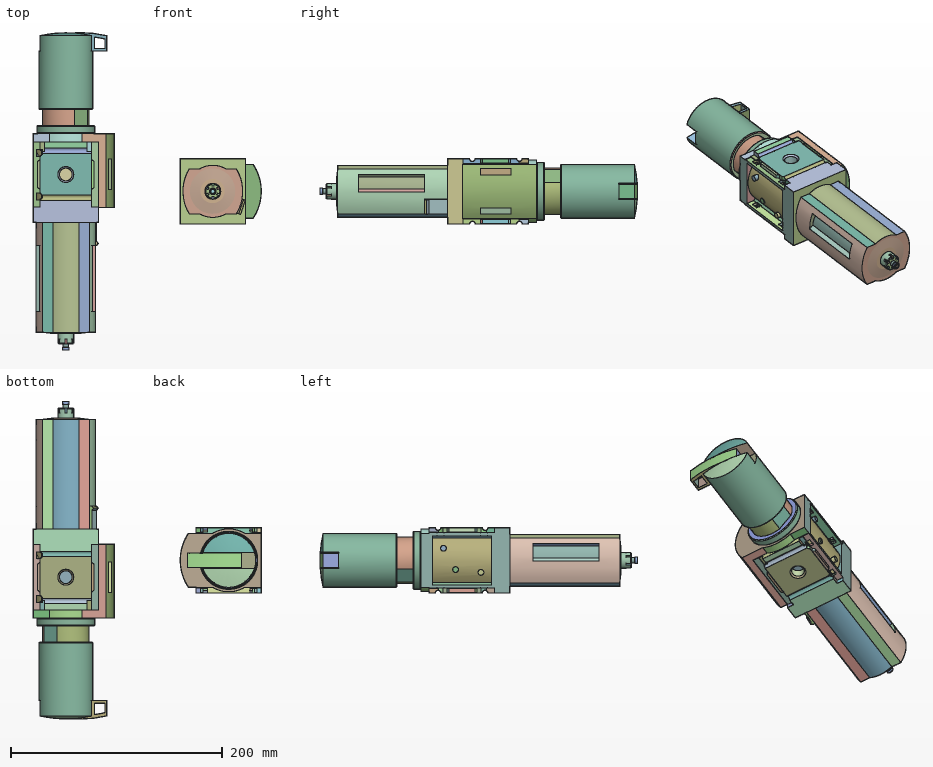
import cadquery as cq
import math


drain_tip_y = -120.7
stem_lip_y = -118.0
drain_body_y = -114.7
drain_slot_y = -110.0
bowl_tip_y = -105.0
bowl_end_y = -104.0
ledge_front_y = 14.5
block_back_y = 76.3
back_plate_y = 84.0
collar_back_y = 91.5
knob_front_y = 106.5
knob_slot_y = 162.0
knob_edge_y = 176.5
knob_top_y = 179.5
edge_chamfer = 1.0

block_half = 31.0
core_half_width = 24.3
plate_half_height = 25.5
ledge_half_height = 26.0
barrel_radius = 29.7
port_y = 45.3
port_mouth_diameter = 15.0
port_diameter = 12.0
port_chamfer = (port_mouth_diameter - port_diameter) / 2
port_depth = 10.0
groove_diameter = 5.0
rear_groove_y = 68.0
front_groove_y = 23.5
rib_half_width = 20.0
rib_pocket_front_y = 67.3
rib_pocket_floor = 26.7
lug_base_length = 28.2
lug_tip_length = 24.5
lug_width = 2.5
lug_height = 3.5
lug_top = 30.3
opening_x = -25.0
opening_ys = (24.5, 65.8)
opening_width = 5.5
opening_length = 6.5
relief_diameter = 5.5

recess_front_y = 17.5
recess_back_y = 73.3
recess_half_height = 23.0
recess_inner_x = -19.2
recess_chamfer = 4.0
pin_diameter = 5.5
long_pin_end_x = -block_half
short_pin_end_x = -29.5
pins = (
    (62.8, 11.5, long_pin_end_x),
    (51.5, -8.7, short_pin_end_x),
    (27.3, -11.5, long_pin_end_x),
)

cover_shoulder_x = 38.0
cover_crown_x = 46.0
cover_front_y = 14.0
notch_x = 40.5
notch_floor = 15.5
notch_length = 28.8

collar_diameter = 55.0
neck_diameter = 44.0
neck_across_flats = 40.5

bowl_core_radius = 24.5
guard_half_height = 21.3
guard_corner_x = 22.2
guard_crown_x = 28.2
window_section = (
    (-28.5, -1.0),
    (-24.0, 2.7),
    (-19.8, 13.5),
    (-26.7, 16.5),
    (-28.5, 16.5),
)
window_front_y = -84.0
window_back_y = -21.5
end_cone_diameter = 43.0
end_flat_diameter = 22.8
latch_top = (27.3, -7.2)
latch_bottom = (22.8, -20.7)
latch_end_y = -22.0
latch_ridge_y = -19.8
latch_ridge_start_y = -17.7
latch_thickness = 1.8
latch_ridge_height = 3.5
latch_root = 2.5

drain_diameter = 15.0
drain_slot_count = 6
drain_slot_width = 1.8
drain_slot_depth = 2.7
stem_diameter = 5.5
stem_lip_diameter = 6.3
stem_bore_diameter = 4.0
stem_bore_depth = 3.0

knob_diameter = 51.0
knob_slot_half = 7.5
slide_half = 7.0
slide_travel = 13.2
eye_inner_x = 27.3
eye_outer_x = 37.0
eye_floor_y = 164.5
eye_roof = 3.5

dome_rise = knob_top_y - knob_edge_y
dome_radius = ((knob_diameter / 2) ** 2 + dome_rise**2) / (2 * dome_rise)


def span_box(x0, x1, y0, y1, z0, z1):
    """Box given by its limits on each axis."""
    return cq.Workplane("XY").box(x1 - x0, y1 - y0, z1 - z0, centered=False).translate((x0, y0, z0))


def section_at(y):
    """Sketching plane across the main axis, with local X and Y along X and Z."""
    return cq.Workplane("XZ", origin=(0, y, 0))


def rod(diameter, y0, y1):
    """Cylinder on the main axis from y0 to y1."""
    return section_at(y1).circle(diameter / 2).extrude(y1 - y0)


def both_sides(shape):
    """The shape together with its mirror image below Z = 0."""
    return shape.union(shape.mirror("XY"))




def make_block():
    flange = span_box(-block_half, block_half, 0, ledge_front_y, -block_half, block_half)
    core = span_box(
        -core_half_width, core_half_width, ledge_front_y, block_back_y, -block_half, block_half
    )
    ledges = span_box(
        -block_half, block_half, ledge_front_y, block_back_y, -ledge_half_height, ledge_half_height
    )
    back_plate = span_box(
        -block_half, block_half, block_back_y, back_plate_y, -plate_half_height, plate_half_height
    )
    barrel = rod(2 * barrel_radius, block_back_y, back_plate_y)
    return flange.union(core).union(ledges).union(back_plate).union(barrel)


def make_grooves():
    """Round grooves across the top and bottom, with pockets at the ends of the rear rib."""
    cutters = cq.Workplane("XY")
    for y in (rear_groove_y, front_groove_y):
        groove = (
            cq.Workplane("YZ", origin=(-core_half_width, y, block_half))
            .circle(groove_diameter / 2)
            .extrude(2 * core_half_width)
        )
        cutters = cutters.union(groove)
    for x0, x1 in ((-core_half_width, -rib_half_width), (rib_half_width, core_half_width)):
        pocket = span_box(x0, x1, rib_pocket_front_y, block_back_y, rib_pocket_floor, block_half)
        cutters = cutters.union(pocket)
    return both_sides(cutters)


def make_port():
    """Blind port with a chamfered mouth, in the top and the bottom."""
    mouth = cq.Workplane("XY", origin=(0, port_y, block_half))
    bore = mouth.circle(port_diameter / 2).extrude(-port_depth)
    chamfer = (
        mouth.circle(port_mouth_diameter / 2)
        .workplane(offset=-port_chamfer)
        .circle(port_diameter / 2)
        .loft()
    )
    return both_sides(bore.union(chamfer))


def make_lugs():
    """Tapered lugs along the sides of the raised core."""
    lug = (
        cq.Workplane("XY", origin=(core_half_width, port_y, lug_top))
        .moveTo(0, -lug_base_length / 2)
        .lineTo(lug_width, -lug_tip_length / 2)
        .lineTo(lug_width, lug_tip_length / 2)
        .lineTo(0, lug_base_length / 2)
        .close()
        .extrude(-lug_height)
    )
    return both_sides(lug.union(lug.mirror("YZ")))


def make_frame_openings():
    """Openings through the -X ledges into the side recess, rounded where they cut into the core."""
    height = block_half - recess_half_height
    openings = cq.Workplane("XY")
    for y in opening_ys:
        base = cq.Workplane("XY", origin=(opening_x, y, recess_half_height))
        slot = base.rect(opening_width, opening_length).extrude(ledge_half_height - recess_half_height)
        relief = base.circle(relief_diameter / 2).extrude(height)
        openings = openings.union(slot).union(relief)
    return both_sides(openings.cut(rod(2 * barrel_radius, recess_front_y, recess_back_y)))


def make_side_recess():
    """Recess in the -X side that leaves the round barrel standing inside it."""
    recess = span_box(
        -block_half, recess_inner_x, recess_front_y, recess_back_y, -recess_half_height, recess_half_height
    )
    recess = recess.edges("|Y and >X").chamfer(recess_chamfer)
    return recess.cut(rod(2 * barrel_radius, recess_front_y, recess_back_y))


def make_recess_pins():
    """Short pins standing on the barrel inside the side recess."""
    stubs = cq.Workplane("XY")
    for y, z, end_x in pins:
        stub = (
            cq.Workplane("YZ", origin=(end_x, y, z))
            .circle(pin_diameter / 2)
            .extrude(recess_inner_x - end_x)
        )
        stubs = stubs.union(stub)
    return stubs


def make_cover():
    """Crowned side cover with a step notch near its crown, above and below."""
    cover = (
        section_at(back_plate_y)
        .moveTo(core_half_width, -plate_half_height)
        .lineTo(cover_shoulder_x, -plate_half_height)
        .threePointArc((cover_crown_x, 0), (cover_shoulder_x, plate_half_height))
        .lineTo(core_half_width, plate_half_height)
        .close()
        .extrude(back_plate_y - cover_front_y)
    )
    notch = span_box(
        notch_x,
        cover_crown_x,
        port_y - notch_length / 2,
        port_y + notch_length / 2,
        notch_floor,
        plate_half_height,
    )
    return cover.cut(both_sides(notch))


def make_collar_and_neck():
    collar = rod(collar_diameter, back_plate_y, collar_back_y).faces("<Y or >Y").chamfer(edge_chamfer)
    neck = rod(neck_diameter, collar_back_y, knob_front_y)
    flats = (
        section_at(knob_front_y)
        .transformed(rotate=(0, 0, 45))
        .rect(neck_across_flats, neck_diameter)
        .extrude(knob_front_y - collar_back_y)
    )
    return collar.union(neck.intersect(flats))


def make_bowl():
    """Round bowl inside a flat-sided guard, with a shallow cone on its end."""
    guard = (
        section_at(0)
        .moveTo(guard_corner_x, -guard_half_height)
        .threePointArc((guard_crown_x, 0), (guard_corner_x, guard_half_height))
        .lineTo(-guard_corner_x, guard_half_height)
        .threePointArc((-guard_crown_x, 0), (-guard_corner_x, -guard_half_height))
        .close()
        .extrude(-bowl_end_y)
    )
    core = rod(2 * bowl_core_radius, bowl_end_y, 0)
    end_cone = (
        section_at(bowl_end_y)
        .circle(end_cone_diameter / 2)
        .workplane(offset=bowl_end_y - bowl_tip_y)
        .circle(end_flat_diameter / 2)
        .loft()
    )
    return guard.cut(make_bowl_windows()).union(core).union(end_cone)


def make_bowl_windows():
    """Sight windows through the guard on both sides, with flared long edges."""
    window = (
        section_at(window_back_y)
        .polyline(window_section)
        .close()
        .extrude(window_back_y - window_front_y)
    )
    return window.union(window.mirror("YZ"))


def make_latch():
    """Bowl latch: a plate on the lower +X side of the guard, ending in a ridge."""
    along = cq.Vector(latch_bottom[0] - latch_top[0], 0, latch_bottom[1] - latch_top[1])
    outward = cq.Vector(-along.z, 0, along.x)
    plane = cq.Plane(origin=(latch_top[0], 0, latch_top[1]), xDir=outward, normal=along)
    y_sign = plane.yDir.y
    profile = [
        (-latch_root, 0),
        (latch_thickness, 0),
        (latch_thickness, latch_ridge_start_y),
        (latch_ridge_height, latch_ridge_y),
        (latch_thickness, latch_end_y),
        (-latch_root, latch_end_y),
    ]
    points = [(out, y_sign * y) for out, y in profile]
    return cq.Workplane(plane).polyline(points).close().extrude(along.Length)


def make_drain():
    """Castellated drain nut with a lipped, bored stem."""
    nut = rod(drain_diameter, drain_body_y, bowl_end_y).faces("<Y").chamfer(edge_chamfer)
    slot = span_box(
        -drain_slot_width / 2,
        drain_slot_width / 2,
        drain_body_y,
        drain_slot_y,
        drain_diameter / 2 - drain_slot_depth,
        drain_diameter / 2,
    )
    for i in range(drain_slot_count):
        nut = nut.cut(slot.rotate((0, 0, 0), (0, 1, 0), i * 360 / drain_slot_count))
    stem = rod(stem_diameter, drain_tip_y, drain_body_y)
    lip = rod(stem_lip_diameter, drain_tip_y, stem_lip_y)
    bore = rod(stem_bore_diameter, drain_tip_y, drain_tip_y + stem_bore_depth)
    return nut.union(stem).union(lip).cut(bore)


def make_housing():
    block = make_block().cut(make_grooves()).cut(make_port()).union(make_lugs())
    block = block.cut(make_frame_openings()).cut(make_side_recess()).union(make_recess_pins())
    housing = block.union(make_cover()).union(make_collar_and_neck())
    return housing.union(make_bowl()).union(make_latch()).union(make_drain())




def make_knob():
    """Knob with a domed end and a slot across it for the locking slide."""
    radius = knob_diameter / 2
    mid_radius = radius / 2
    mid_dome_y = knob_top_y - dome_radius + math.sqrt(dome_radius**2 - mid_radius**2)
    knob = (
        cq.Workplane("XY")
        .moveTo(0, knob_front_y)
        .lineTo(radius - edge_chamfer, knob_front_y)
        .lineTo(radius, knob_front_y + edge_chamfer)
        .lineTo(radius, knob_edge_y)
        .threePointArc((mid_radius, mid_dome_y), (0, knob_top_y))
        .close()
        .revolve(360, (0, 0, 0), (0, 1, 0))
    )
    slot = span_box(-radius, radius, knob_slot_y, knob_top_y, -knob_slot_half, knob_slot_half)
    return knob.cut(slot)




def make_slide():
    """Locking slide, pulled out to +X, with an eye for a padlock in its outer end."""
    half_length = knob_diameter / 2
    bar = (
        cq.Workplane("XY", origin=(slide_travel, 0, -slide_half))
        .moveTo(-half_length, knob_slot_y)
        .lineTo(half_length, knob_slot_y)
        .lineTo(half_length, knob_edge_y)
        .threePointArc((0, knob_top_y), (-half_length, knob_edge_y))
        .close()
        .extrude(2 * slide_half)
    )
    eye = span_box(eye_inner_x, eye_outer_x, eye_floor_y, knob_top_y, -slide_half, slide_half)
    roof_limit = (
        cq.Workplane("XY", origin=(slide_travel, knob_top_y - dome_radius, -slide_half))
        .circle(dome_radius - eye_roof)
        .extrude(2 * slide_half)
    )
    return bar.cut(eye.intersect(roof_limit))


housing = make_housing()
knob = make_knob()
slide = make_slide()
result = cq.Compound.makeCompound([housing.solids().val(), knob.solids().val(), slide.solids().val()])